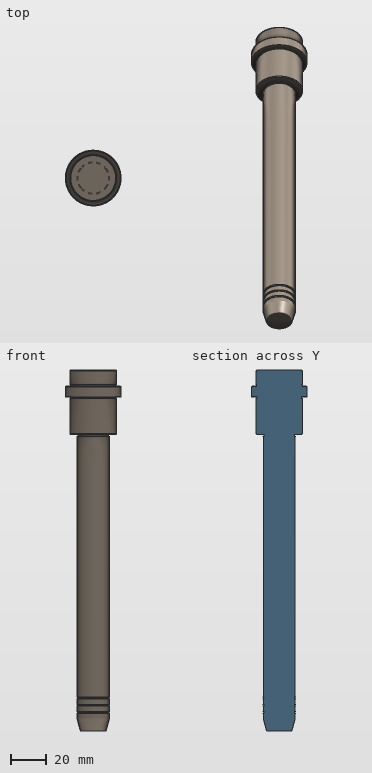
import cadquery as cq
import math

TOTAL_LENGTH = 201.0
HEAD_RADIUS = 13.0
COLLAR_RADIUS = 15.5
SHANK_RADIUS = 9.0

CAP_HEIGHT = 9.0
COLLAR_HEIGHT = 6.0
BODY_HEIGHT = 21.0

COLLAR_CHAMFER = 0.5
BODY_CHAMFER = 0.5
CAP_CHAMFER = 0.5
RELIEF_HEIGHT = 1.0
BODY_RELIEF_DEPTH = 0.5
CAP_RELIEF_DEPTH = 0.2
SHANK_NECK_HEIGHT = 1.0
SHANK_NECK_DEPTH = 0.5

TAPER_HEIGHT = 7.0
TAPER_ANGLE = 15.0
TIP_FILLET = 0.5

RING_COUNT = 3
RING_PITCH = 4.0
LOWEST_RING_Z = 10.5
RING_WIDTH = 1.0
RING_DEPTH = 0.5

COLLAR_TOP = TOTAL_LENGTH - CAP_HEIGHT
COLLAR_BOTTOM = COLLAR_TOP - COLLAR_HEIGHT
BODY_BOTTOM = COLLAR_BOTTOM - BODY_HEIGHT
TIP_RADIUS = SHANK_RADIUS - TAPER_HEIGHT * math.tan(math.radians(TAPER_ANGLE))


def revolve_about_z(half_profile):
    """Turn an (r, z) half profile, drawn in XZ, into a solid about the Z axis."""
    return half_profile.close().revolve(360, (0, 0, 0), (0, 1, 0))


def make_pin():
    """Ungrooved pin, standing on its tip face at Z = 0, with the tip edge rounded."""
    neck_radius = SHANK_RADIUS - SHANK_NECK_DEPTH
    body_relief_radius = HEAD_RADIUS - BODY_RELIEF_DEPTH
    cap_relief_radius = HEAD_RADIUS - CAP_RELIEF_DEPTH
    body_relief_bottom = COLLAR_BOTTOM - RELIEF_HEIGHT
    cap_relief_top = COLLAR_TOP + RELIEF_HEIGHT
    half_profile = (
        cq.Workplane("XZ")
        .moveTo(0, 0)
        .lineTo(TIP_RADIUS, 0)
        .lineTo(SHANK_RADIUS, TAPER_HEIGHT)
        .lineTo(SHANK_RADIUS, BODY_BOTTOM - SHANK_NECK_HEIGHT)
        .lineTo(neck_radius, BODY_BOTTOM - SHANK_NECK_HEIGHT)
        .lineTo(neck_radius, BODY_BOTTOM)
        .lineTo(HEAD_RADIUS - BODY_CHAMFER, BODY_BOTTOM)
        .lineTo(HEAD_RADIUS, BODY_BOTTOM + BODY_CHAMFER)
        .lineTo(HEAD_RADIUS, body_relief_bottom)
        .lineTo(body_relief_radius, body_relief_bottom + BODY_RELIEF_DEPTH)
        .lineTo(body_relief_radius, COLLAR_BOTTOM)
        .lineTo(COLLAR_RADIUS, COLLAR_BOTTOM)
        .lineTo(COLLAR_RADIUS, COLLAR_TOP - COLLAR_CHAMFER)
        .lineTo(COLLAR_RADIUS - COLLAR_CHAMFER, COLLAR_TOP)
        .lineTo(cap_relief_radius, COLLAR_TOP)
        .lineTo(cap_relief_radius, cap_relief_top - CAP_RELIEF_DEPTH)
        .lineTo(HEAD_RADIUS, cap_relief_top)
        .lineTo(HEAD_RADIUS, TOTAL_LENGTH - CAP_CHAMFER)
        .lineTo(HEAD_RADIUS - CAP_CHAMFER, TOTAL_LENGTH)
        .lineTo(0, TOTAL_LENGTH)
    )
    return revolve_about_z(half_profile).faces("<Z").edges().fillet(TIP_FILLET)


def make_ring_cutter(center_z):
    """Ring of triangular section that cuts one shallow V groove into the shank."""
    half_width = RING_WIDTH / 2
    half_profile = (
        cq.Workplane("XZ")
        .moveTo(SHANK_RADIUS, center_z - half_width)
        .lineTo(SHANK_RADIUS - RING_DEPTH, center_z)
        .lineTo(SHANK_RADIUS, center_z + half_width)
        .lineTo(COLLAR_RADIUS, center_z + half_width)
        .lineTo(COLLAR_RADIUS, center_z - half_width)
    )
    return revolve_about_z(half_profile)


result = make_pin()
for index in range(RING_COUNT):
    result = result.cut(make_ring_cutter(LOWEST_RING_Z + index * RING_PITCH))